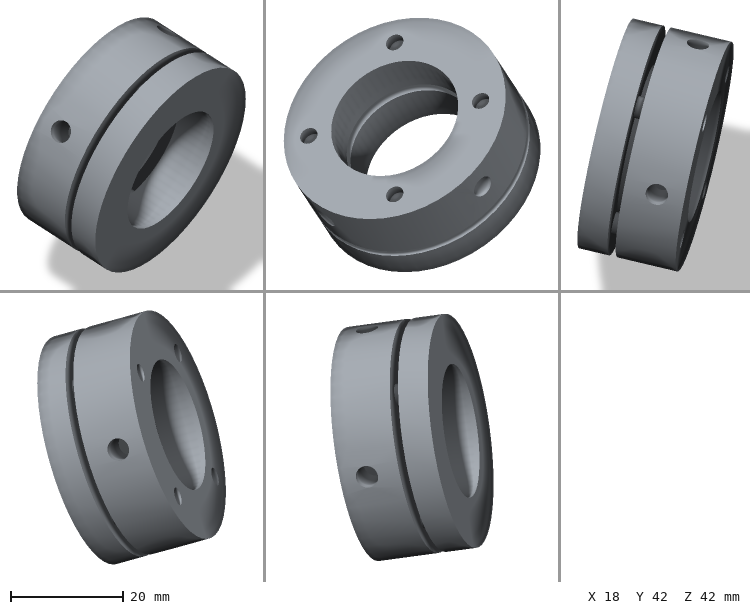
import cadquery as cq
import math

outer_diameter = 42.0
bore_diameter = 24.02
length = 18.0
outer_radius = outer_diameter / 2
bore_radius = bore_diameter / 2

web_thickness = 1.8
inner_slot_start = 8.0
inner_slot_width = 2.0
outer_slot_start = 11.0
outer_slot_width = 1.5

pin_count = 4
pin_diameter = 4.05
pin_circle_radius = 16.25
pin_start = 2.0
pin_depth_in_flange = 2.0
access_hole_diameter = 3.28
pin_end = outer_slot_start + outer_slot_width + pin_depth_in_flange

radial_hole_diameter = 4.05
radial_hole_position = 5.0
radial_hole_depth = 7.0


def cylinder_along_x(radius, start, end, y=0.0, z=0.0):
    """Solid cylinder parallel to X between two X positions."""
    return cq.Workplane("YZ", origin=(start, y, z)).circle(radius).extrude(end - start)


def ring_along_x(inner_radius, ring_outer_radius, start, width):
    """Flat ring around the X axis."""
    profile = cq.Workplane("YZ", origin=(start, 0, 0)).circle(ring_outer_radius).circle(inner_radius)
    return profile.extrude(width)


def pin_centres():
    """(y, z) centres of the pins, on the Y and Z axes."""
    angles = [2 * math.pi * i / pin_count for i in range(pin_count)]
    return [(pin_circle_radius * math.cos(a), pin_circle_radius * math.sin(a)) for a in angles]


def make_pin(y, z):
    return cylinder_along_x(pin_diameter / 2, pin_start, pin_end, y, z)


def make_radial_hole(angle):
    """Cutter running inward from the outer surface at an angle in degrees about X."""
    floor_radius = outer_radius - radial_hole_depth
    cutter = cq.Workplane("XY", origin=(radial_hole_position, 0, floor_radius))
    cutter = cutter.circle(radial_hole_diameter / 2).extrude(radial_hole_depth)
    return cutter.rotate((0, 0, 0), (1, 0, 0), angle)


def make_housing():
    body = ring_along_x(bore_radius, outer_radius, 0, length)

    body = body.cut(ring_along_x(bore_radius, outer_radius - web_thickness, inner_slot_start, inner_slot_width))

    body = body.cut(ring_along_x(bore_radius + web_thickness, outer_radius, outer_slot_start, outer_slot_width))

    for y, z in pin_centres():
        body = body.cut(make_pin(y, z))
        body = body.cut(cylinder_along_x(access_hole_diameter / 2, 0, pin_start, y, z))

    for i in range(pin_count):
        body = body.cut(make_radial_hole((i + 0.5) * 360 / pin_count))
    return body.solids()


housing = make_housing()
pins = [make_pin(y, z) for y, z in pin_centres()]

result = cq.Compound.makeCompound([housing.val(), *[pin.val() for pin in pins]])